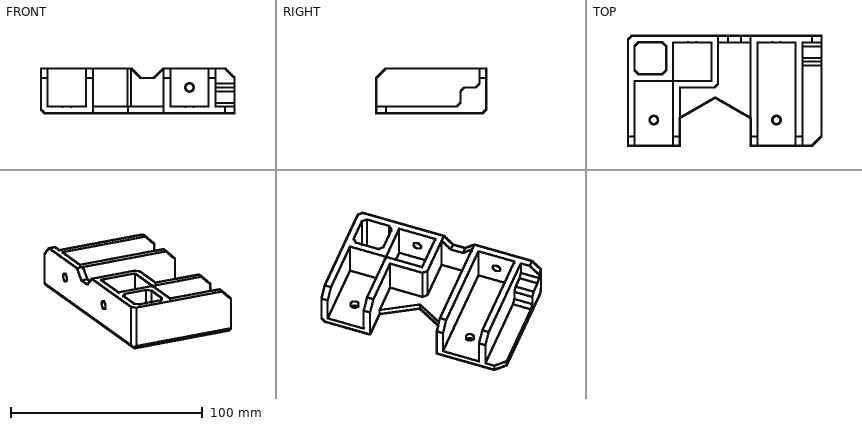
import cadquery as cq

LENGTH = 101.0
DEPTH = 57.5
HEIGHT = 23.5
WALL = 3.5
CHANNEL_WIDTH = 20.0
SIDE_LEDGE = 10.0
POCKET_DEPTH = CHANNEL_WIDTH
WINDOW = 16.5
SMALL_CHAMFER = 2.0
LARGE_CHAMFER = 5.0
HOLE_DIAMETER = 4.2
HOLE_Y = 13.5
BACK_HOLE_Z = HEIGHT - 10.0
NOTCH_APEX_Y = 25.1
NOTCH_SHOULDER_Y = 14.5
STEP_TOP = 13.5
STEP_DEPTH = 10.0

channel_outer = CHANNEL_WIDTH + 2 * WALL
right_start = LENGTH - SIDE_LEDGE - channel_outer
right_end = LENGTH - SIDE_LEDGE
pocket_start = WALL + CHANNEL_WIDTH
pocket_end = pocket_start + CHANNEL_WIDTH
back_inner = DEPTH - WALL
pocket_front = back_inner - POCKET_DEPTH
left_center = channel_outer / 2
right_center = right_start + channel_outer / 2


def box(x0, x1, y0, y1, z0, z1):
    """Box given by its limits along each axis."""
    return cq.Workplane("XY").box(x1 - x0, y1 - y0, z1 - z0, centered=False).translate((x0, y0, z0))


def side_prism(points, x0, x1):
    """YZ outline extruded between two X positions."""
    return cq.Workplane("YZ").workplane(offset=x0).polyline(points).close().extrude(x1 - x0)


def front_prism(points, y0, y1):
    """XZ outline extruded between two Y positions."""
    return cq.Workplane("XZ", origin=(0, y0, 0)).polyline(points).close().extrude(y0 - y1)


def make_floor():
    """Base plate with a V notch between the channels and a clipped front right corner."""
    outline = [
        (0, 0),
        (channel_outer, 0),
        (channel_outer, NOTCH_SHOULDER_Y),
        ((channel_outer + right_start) / 2, NOTCH_APEX_Y),
        (right_start, NOTCH_SHOULDER_Y),
        (right_start, 0),
        (LENGTH - LARGE_CHAMFER, 0),
        (LENGTH, LARGE_CHAMFER),
        (LENGTH, DEPTH),
        (0, DEPTH),
    ]
    return cq.Workplane("XY").polyline(outline).close().extrude(WALL)


def make_back_wall():
    """Back wall with a sloped dip in the middle and a clipped top right corner."""
    dip_start = pocket_end + WALL
    low = HEIGHT - LARGE_CHAMFER
    outline = [
        (0, 0),
        (LENGTH, 0),
        (LENGTH, low),
        (LENGTH - LARGE_CHAMFER, HEIGHT),
        (right_start, HEIGHT),
        (right_start - LARGE_CHAMFER, low),
        (dip_start + LARGE_CHAMFER, low),
        (dip_start, HEIGHT),
        (0, HEIGHT),
    ]
    return front_prism(outline, back_inner, DEPTH)


def make_channel_wall(x0):
    """Full-depth wall, chamfered at its front top edge."""
    outline = [
        (0, 0),
        (DEPTH, 0),
        (DEPTH, HEIGHT),
        (LARGE_CHAMFER, HEIGHT),
        (0, HEIGHT - LARGE_CHAMFER),
    ]
    return side_prism(outline, x0, x0 + WALL)


def make_pocket_block():
    """Block around the square pocket, with one clipped vertical corner."""
    block = box(pocket_start, pocket_end + WALL, pocket_front - WALL, DEPTH, 0, HEIGHT)
    return block.edges("|Z and >X and <Y").chamfer(SMALL_CHAMFER)


def make_ledge_step():
    """Step on the right ledge, with sloped transitions to wall and floor."""
    front = back_inner - STEP_DEPTH
    c = SMALL_CHAMFER
    outline = [
        (DEPTH, 0),
        (front - c, 0),
        (front - c, WALL),
        (front, WALL + c),
        (front, STEP_TOP - c),
        (front + c, STEP_TOP),
        (back_inner - c, STEP_TOP),
        (back_inner, STEP_TOP + c),
        (DEPTH, STEP_TOP + c),
    ]
    return side_prism(outline, right_end, LENGTH)


def make_window():
    """Through opening with clipped corners."""
    window = box(WALL, WALL + WINDOW, back_inner - WINDOW, back_inner, 0, HEIGHT)
    return window.edges("|Z").chamfer(SMALL_CHAMFER)


def trim_outer_edges(body):
    """Clip the back left corner and the left and back bottom edges."""
    c = SMALL_CHAMFER
    corner = cq.Workplane("XY").polyline([(0, DEPTH - c), (c, DEPTH), (0, DEPTH)]).close().extrude(HEIGHT)
    left_edge = front_prism([(0, 0), (c, 0), (0, c)], 0, DEPTH)
    back_edge = side_prism([(DEPTH, 0), (DEPTH - c, 0), (DEPTH, c)], 0, LENGTH)
    return body.cut(corner).cut(left_edge).cut(back_edge)


result = make_floor().union(make_back_wall())
for wall_x in (0, right_start, right_end - WALL):
    result = result.union(make_channel_wall(wall_x))
result = result.union(make_channel_wall(pocket_start))
result = result.union(make_pocket_block())
result = result.union(box(0, pocket_start, pocket_front, DEPTH, 0, HEIGHT))
result = result.union(make_ledge_step())

result = result.cut(box(pocket_start, pocket_end, pocket_front, back_inner, WALL, HEIGHT))
result = result.cut(make_window())

for hole_x in (left_center, right_center):
    hole = cq.Workplane("XY").center(hole_x, HOLE_Y).circle(HOLE_DIAMETER / 2).extrude(WALL)
    result = result.cut(hole)

for hole_x in ((pocket_start + pocket_end) / 2, right_center):
    hole = cq.Workplane("XZ", origin=(hole_x, DEPTH, BACK_HOLE_Z)).circle(HOLE_DIAMETER / 2).extrude(WALL)
    result = result.cut(hole)

result = trim_outer_edges(result)